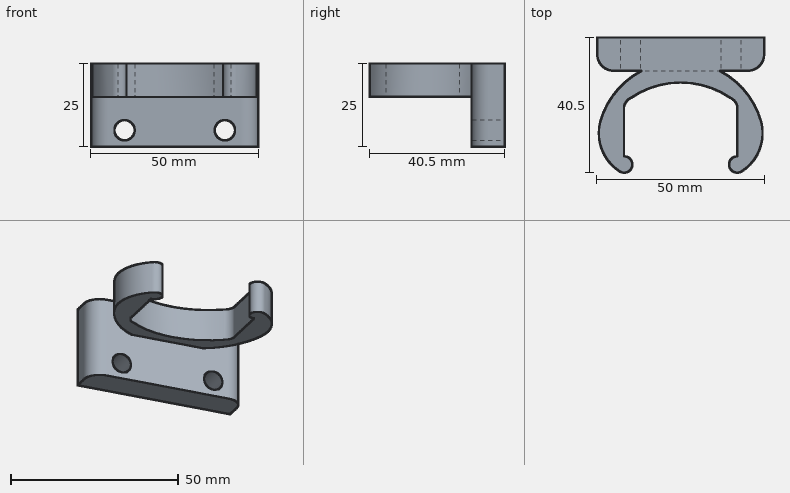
import cadquery as cq

block_width = 50.0
block_depth = 10.0
block_height = 25.0
block_corner_radius = 5.0

hole_diameter = 6.0
hole_spacing = 30.0
hole_height = 5.0

clip_height = 10.0
clip_root_half_width = 11.8
shoulder_x, shoulder_y = 19.15, -15.9
arm_joint_x, arm_joint_y = 24.1, -25.2
arm_bulge_x, arm_bulge_y = 24.0, -32.35

tip_radius = 2.475
tip_x = 16.9
tip_y = -40.45 + tip_radius
tip_tangent_x, tip_tangent_y = 18.35, -40.0

opening_half_width = 16.9
crown_y = -13.5
crown_side_x, crown_side_y = 14.9, -18.1
opening_corner_x, opening_corner_y = 16.25, -19.2
opening_side_top = -20.6


def make_block():
    """Plate with its two front vertical edges rounded."""
    return (
        cq.Workplane("XY")
        .box(block_width, block_depth, block_height, centered=(True, False, False))
        .translate((0, -block_depth, 0))
        .edges("|Z and <Y")
        .fillet(block_corner_radius)
    )


def make_clip():
    """Open clip whose root is buried in the block."""
    tip_top = tip_y + tip_radius
    root_y = -block_depth / 2
    return (
        cq.Workplane("XY")
        .workplane(offset=block_height - clip_height)
        .moveTo(-clip_root_half_width, root_y)
        .lineTo(-clip_root_half_width, -block_depth)
        .threePointArc((-shoulder_x, shoulder_y), (-arm_joint_x, arm_joint_y))
        .threePointArc((-arm_bulge_x, arm_bulge_y), (-tip_tangent_x, tip_tangent_y))
        .threePointArc((-tip_x + tip_radius, tip_y), (-opening_half_width, tip_top))
        .lineTo(-opening_half_width, opening_side_top)
        .threePointArc((-opening_corner_x, opening_corner_y), (-crown_side_x, crown_side_y))
        .threePointArc((0, crown_y), (crown_side_x, crown_side_y))
        .threePointArc((opening_corner_x, opening_corner_y), (opening_half_width, opening_side_top))
        .lineTo(opening_half_width, tip_top)
        .threePointArc((tip_x - tip_radius, tip_y), (tip_tangent_x, tip_tangent_y))
        .threePointArc((arm_bulge_x, arm_bulge_y), (arm_joint_x, arm_joint_y))
        .threePointArc((shoulder_x, shoulder_y), (clip_root_half_width, -block_depth))
        .lineTo(clip_root_half_width, root_y)
        .close()
        .extrude(clip_height)
    )


def make_holes():
    """Pair of cylinders running through the depth of the block."""
    return (
        cq.Workplane("XZ")
        .pushPoints([(side * hole_spacing / 2, hole_height) for side in (-1, 1)])
        .circle(hole_diameter / 2)
        .extrude(block_depth)
    )


result = make_block().union(make_clip()).cut(make_holes())